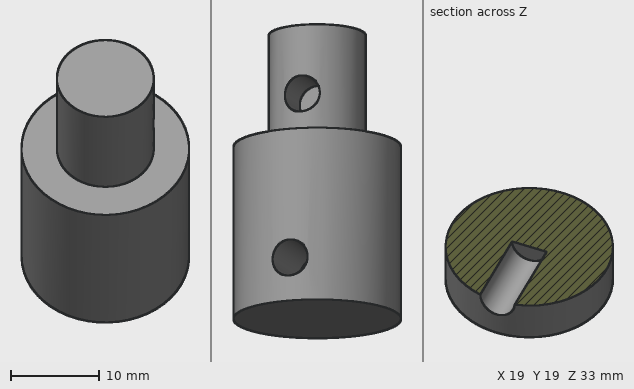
import cadquery as cq

total_height = 33.0
body_diameter = 19.0
body_height = 20.0
pin_diameter = 11.0
pin_height = total_height - body_height

hole_diameter = 4.2
body_hole_height = 5.0
pin_hole_height = body_height + body_hole_height


def radial_hole(height):
    """Cutter running from the axis out past the +Y surface."""
    return cq.Workplane("XZ", origin=(0, 0, height)).circle(hole_diameter / 2).extrude(-body_diameter)


body = cq.Workplane("XY").circle(body_diameter / 2).extrude(body_height)
result = body.faces(">Z").workplane().circle(pin_diameter / 2).extrude(pin_height)

for hole_height in (body_hole_height, pin_hole_height):
    result = result.cut(radial_hole(hole_height))